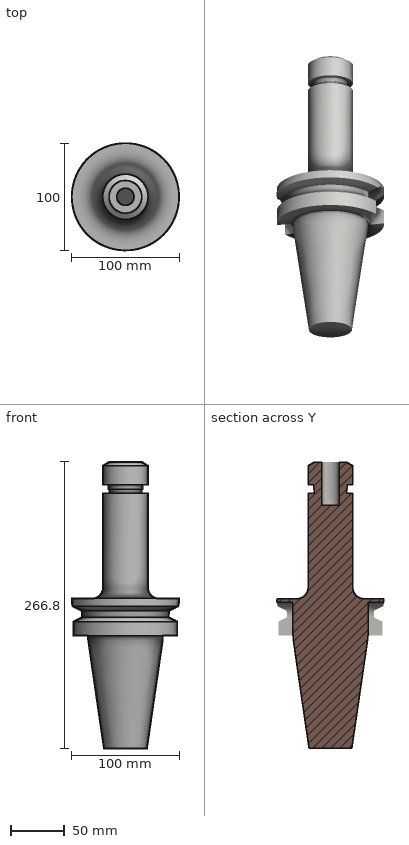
import cadquery as cq

taper_height = 102.0
flange_bottom = 105.0
lower_rim_top = 118.2
groove_bottom = 122.2
groove_top = 128.3
upper_rim_bottom = 132.5
flange_top = 139.8
shaft_top = 237.7
neck_step = 241.5
nut_bottom = 245.5
nut_chamfer_bottom = 263.3
total_height = 266.8

gauge_radius = 35.0
taper_ratio = 7 / 24
small_end_radius = gauge_radius - taper_height * taper_ratio / 2
flange_radius = 100.0 / 2
groove_radius = 42.5
shaft_radius = 21.0
root_fillet_radius = 10.0
lower_neck_radius = 15.2
upper_neck_radius = 16.0
nut_face_radius = 15.2

bore_radius = 8.0
bore_depth = 40.0

slot_width = 25.3
slot_top = 136.0
slot_floor_distance = 35.5


def make_body():
    """Revolve the holder: taper, grooved flange, shaft, neck and nut."""
    root_x = shaft_radius + root_fillet_radius
    root_z = flange_top + root_fillet_radius
    arc_offset = root_fillet_radius * 0.5 ** 0.5
    return (
        cq.Workplane("XZ")
        .lineTo(small_end_radius, 0)
        .lineTo(gauge_radius, taper_height)
        .lineTo(gauge_radius, flange_bottom)
        .lineTo(flange_radius, flange_bottom)
        .lineTo(flange_radius, lower_rim_top)
        .lineTo(groove_radius, groove_bottom)
        .lineTo(groove_radius, groove_top)
        .lineTo(flange_radius, upper_rim_bottom)
        .lineTo(flange_radius, flange_top)
        .lineTo(root_x, flange_top)
        .threePointArc((root_x - arc_offset, root_z - arc_offset), (shaft_radius, root_z))
        .lineTo(shaft_radius, shaft_top)
        .lineTo(lower_neck_radius, shaft_top)
        .lineTo(lower_neck_radius, neck_step)
        .lineTo(upper_neck_radius, neck_step)
        .lineTo(upper_neck_radius, nut_bottom)
        .lineTo(shaft_radius, nut_bottom)
        .lineTo(shaft_radius, nut_chamfer_bottom)
        .lineTo(nut_face_radius, total_height)
        .lineTo(0, total_height)
        .close()
        .revolve(360, (0, 0, 0), (0, 1, 0))
    )


def make_drive_slot():
    """Round-topped slot on the +X side, open outward and at the flange bottom."""
    half_width = slot_width / 2
    return (
        cq.Workplane("YZ", origin=(slot_floor_distance, 0, 0))
        .moveTo(-half_width, flange_bottom)
        .lineTo(half_width, flange_bottom)
        .lineTo(half_width, slot_top - half_width)
        .threePointArc((0, slot_top), (-half_width, slot_top - half_width))
        .close()
        .extrude(flange_radius)
    )


result = make_body()

bore = cq.Workplane("XY", origin=(0, 0, total_height)).circle(bore_radius).extrude(-bore_depth)
result = result.cut(bore)

for angle in (0, 180):
    slot = make_drive_slot().rotate((0, 0, 0), (0, 0, 1), angle)
    result = result.cut(slot)